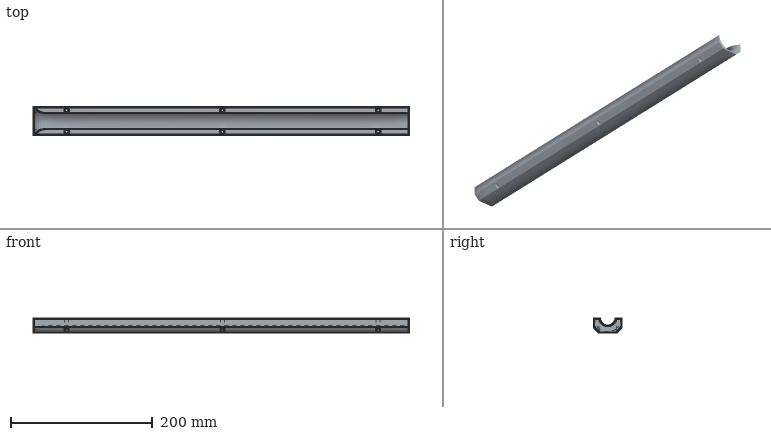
import cadquery as cq

length = 530.5
width = 39.0
height = width / 2
bottom_chamfer = 7.5
channel_radius = 11.0
axis_height = 1.0

mouth_radius = 19.5
rim_length = 1.5
rim_inner_radius = 18.0
flare_end = 6.0
flare_end_radius = 15.0
throat_middle = 9.5
throat_middle_radius = 12.5
throat_end = 14.5
throat_radius = 11.5
lead_in_end = 17.5

hole_diameter = 6.0
first_hole_x = 46.5
hole_pitch = 220.0
holes_per_rim = 3
hole_spacing_across = 30.0


def make_bar():
    return (
        cq.Workplane("XY")
        .box(length, width, height, centered=(False, True, False))
        .translate((0, 0, -height))
        .edges("|X and <Z")
        .chamfer(bottom_chamfer)
    )


def make_bore():
    """Channel and bell mouth as one body turned about the channel axis."""
    return (
        cq.Workplane("XY", origin=(0, 0, axis_height))
        .moveTo(0, 0)
        .lineTo(0, mouth_radius)
        .lineTo(rim_length, rim_inner_radius)
        .lineTo(flare_end, flare_end_radius)
        .threePointArc((throat_middle, throat_middle_radius), (throat_end, throat_radius))
        .lineTo(lead_in_end, channel_radius)
        .lineTo(length, channel_radius)
        .lineTo(length, 0)
        .close()
        .revolve(360, (0, 0, 0), (1, 0, 0))
    )


def make_screw_holes():
    centers = [
        (first_hole_x + index * hole_pitch, side * hole_spacing_across / 2)
        for index in range(holes_per_rim)
        for side in (-1, 1)
    ]
    return cq.Workplane("XY").pushPoints(centers).circle(hole_diameter / 2).extrude(-height)


result = make_bar().cut(make_bore()).cut(make_screw_holes())